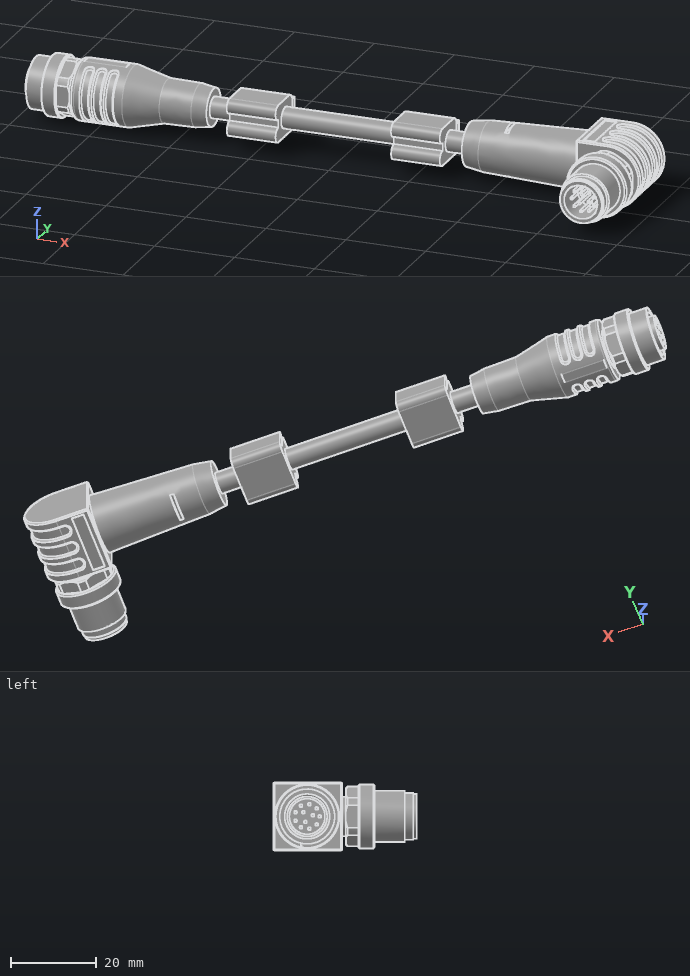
import cadquery as cq
import math


CABLE_DIA = 5.2
CLIP_STARTS = (51.2, 92.3)
CLIP_LENGTH = 12.2
CLIP_HALF_HEIGHT = 4.65
CLIP_HALF_WIDTH = 6.2
CLIP_LOBE_RADIUS = 1.86
CLIP_BODY_EDGE = 4.45
CLIP_LATCH_THICKNESS = 1.4
CLIP_LATCH_TOP = 3.2
CLIP_SLIT_BOTTOM = -1.5

INSERT_DIA = 8.3
PIN_DIA = 0.6
PIN_HOLE_DIA = 0.7
OUTER_PIN_COUNT = 9
OUTER_PIN_RADIUS = 2.9
OUTER_PIN_ANGLE = 20.0
INNER_PIN_COUNT = 3
INNER_PIN_RADIUS = 1.35
SOCKET_INNER_ANGLE = 48.0
PLUG_INNER_ANGLE = -15.0

RING_DIA = 15.0
RING_CHAMFER = 0.4
NUT_FLATS = 13.0
NUT_DIA = 14.0
NUT_CHAMFER = 0.4
NECK_DIA = 9.3

SLEEVE_START = 1.05
SLEEVE_DIA = 12.8
SLEEVE_MOUTH_DIA = 10.5
SLEEVE_ROOT_DIA = 9.3
SLEEVE_DEPTH = 7.0
SOCKET_RING_START = 5.2
SOCKET_NUT_START = 8.7
SOCKET_NUT_END = 11.9
PIN_HOLE_DEPTH = 5.0
GRIP_START = 12.7
GRIP_LEAD_IN = 0.6
GRIP_LEAD_IN_DROP = 0.15
GRIP_END = 25.4
GRIP_DIA = 15.0
TAPER_END = 33.9
TAPER_END_DIA = 10.8
TAIL_RIDGE = 41.8
TAIL_RIDGE_DIA = 10.5
SOCKET_END = 45.5
SOCKET_END_DIA = 9.3

GRIP_GROOVE_CENTRES = (15.95, 19.0, 22.05)
GRIP_GROOVE_WIDTH = 2.4
GRIP_GROOVE_INNER_Y = 2.8
GRIP_FLAT_START = 13.6
GRIP_FLAT_END = 24.1
GRIP_FLAT_HALF_WIDTH = 1.1

BOOT_START = 109.7
BOOT_START_DIA = 10.95
BOOT_RIDGE = 114.0
BOOT_RIDGE_DIA = 12.3
BOOT_END_DIA = 14.2
BOOT_NOTCH_START = 119.7
BOOT_NOTCH_WIDTH = 0.9
BOOT_NOTCH_FLOOR = 5.4

TOTAL_LENGTH = 155.37
TOTAL_DEPTH = 33.5
HEAD_SIZE = 15.97
HEAD_RADIUS = HEAD_SIZE / 2
HEAD_START = 139.3
HEAD_TOP_Y = 7.95
HEAD_LENGTH = 16.15
HEAD_CHAMFER = 0.35
HEAD_BOTTOM_Y = HEAD_TOP_Y - HEAD_LENGTH
HEAD_CENTRE_Y = (HEAD_TOP_Y + HEAD_BOTTOM_Y) / 2
PLUG_X = TOTAL_LENGTH - HEAD_RADIUS
HEAD_GROOVE_PITCH = 4.5
HEAD_GROOVE_WIDTH = 3.1
HEAD_GROOVE_START = 144.75
HEAD_PANEL_START = 140.8
HEAD_PANEL_WIDTH = 2.9
HEAD_PANEL_LENGTH = 14.1
HEAD_PANEL_DEPTH = 0.3

PLUG_NUT_START = 9.0
PLUG_RING_START = 11.85
PLUG_RING_END = 15.75
PLUG_SLEEVE_END = 22.75
PLUG_TIP_STEP = 24.7
PLUG_END = TOTAL_DEPTH - HEAD_TOP_Y
PLUG_SLEEVE_DIA = 12.0
PLUG_TIP_DIA = 10.95
PLUG_END_DIA = 10.5
PLUG_BORE_DEPTH = 8.0
PIN_SETBACK = 1.5

GROOVE_DEPTH = 0.5
GROOVE_WALL_SLOPE = 0.4

TOLERANCE = 1e-3
OVERLAP = 0.5


def turned(stations):
    """Solid of revolution about X through (x, diameter) stations."""
    outline = [(x, dia / 2) for x, dia in stations]
    points = [(stations[0][0], 0)] + outline + [(stations[-1][0], 0)]
    return cq.Workplane("XY").polyline(points).close().revolve(360, (0, 0, 0), (1, 0, 0))


def box(x_range, y_range, z_range):
    """Axis-aligned box from three (low, high) ranges."""
    size = [high - low for low, high in (x_range, y_range, z_range)]
    corner = (x_range[0], y_range[0], z_range[0])
    return cq.Workplane("XY").box(*size, centered=False).translate(corner)


def cylinder_x(start, end, dia):
    return turned([(start, dia), (end, dia)])


def chamfered_cylinder(start, end, dia, chamfer):
    small = dia - 2 * chamfer
    return turned([(start, small), (start + chamfer, dia), (end - chamfer, dia), (end, small)])


def coupling_nut(start, end):
    """Hexagon with two flats facing +-Y and its corners turned down to a cylinder."""
    hexagon = (
        cq.Workplane("YZ", origin=(start, 0, 0))
        .polygon(6, NUT_FLATS, circumscribed=True)
        .extrude(end - start)
    )
    return hexagon.intersect(chamfered_cylinder(start, end, NUT_DIA, NUT_CHAMFER))


def ring_points(count, radius, first_angle):
    """Points evenly spaced on a circle, starting at first_angle degrees."""
    angles = [math.radians(first_angle + i * 360 / count) for i in range(count)]
    return [(radius * math.cos(angle), radius * math.sin(angle)) for angle in angles]


def contacts(start, end, dia, inner_angle):
    """An outer and an inner ring of round contacts, all along X."""
    outer = ring_points(OUTER_PIN_COUNT, OUTER_PIN_RADIUS, OUTER_PIN_ANGLE)
    inner = ring_points(INNER_PIN_COUNT, INNER_PIN_RADIUS, inner_angle)
    plane = cq.Workplane("YZ", origin=(start, 0, 0))
    return plane.pushPoints(outer + inner).circle(dia / 2).extrude(end - start)


def socket_coupling():
    """Sleeve, ring, nut and contact insert at the free end of the straight socket."""
    sleeve = cylinder_x(SLEEVE_START, SOCKET_RING_START + OVERLAP, SLEEVE_DIA)
    ring = chamfered_cylinder(SOCKET_RING_START, SOCKET_NUT_START, RING_DIA, RING_CHAMFER / 2)
    nut = coupling_nut(SOCKET_NUT_START - OVERLAP, SOCKET_NUT_END)
    neck = cylinder_x(SOCKET_NUT_END - OVERLAP, GRIP_START + OVERLAP, NECK_DIA)
    cavity = turned([
        (SLEEVE_START, SLEEVE_MOUTH_DIA),
        (SLEEVE_START + SLEEVE_DEPTH, SLEEVE_ROOT_DIA),
    ])
    insert = cylinder_x(0, SLEEVE_START + SLEEVE_DEPTH + OVERLAP, INSERT_DIA)
    holes = contacts(0, PIN_HOLE_DEPTH, PIN_HOLE_DIA, SOCKET_INNER_ANGLE)
    return sleeve.union(ring).union(nut).union(neck).cut(cavity).union(insert).cut(holes)


def slope_walls(grooves, distance_from_axis, floor_distance):
    """Chamfer the edges of groove cutters that lie on the groove floors."""
    def on_floor(edge):
        distances = [distance_from_axis(vertex) for vertex in edge.Vertices()]
        return all(abs(distance - floor_distance) < TOLERANCE for distance in distances)

    return grooves.edges().filter(on_floor).chamfer(GROOVE_WALL_SLOPE)


def grip_grooves():
    """Finger grooves wrapped round both Y sides of the grip, with round ends."""
    floor_radius = GRIP_DIA / 2 - GROOVE_DEPTH
    band = (
        cylinder_x(GRIP_START, GRIP_END, GRIP_DIA + 2 * OVERLAP)
        .cut(cylinder_x(GRIP_START, GRIP_END, 2 * floor_radius))
    )
    inner = GRIP_GROOVE_INNER_Y
    length = 2 * GRIP_DIA
    slots = (
        cq.Workplane("XY", origin=(0, 0, -GRIP_DIA))
        .pushPoints([
            (x, side * (inner + length / 2))
            for x in GRIP_GROOVE_CENTRES
            for side in (-1, 1)
        ])
        .slot2D(length, GRIP_GROOVE_WIDTH, 90)
        .extrude(2 * GRIP_DIA)
    )
    return slope_walls(
        band.intersect(slots), lambda vertex: math.hypot(vertex.Y, vertex.Z), floor_radius,
    )


def grip():
    """Moulded grip of the straight socket, tapering to the cable."""
    body = turned([
        (GRIP_START, GRIP_DIA - 2 * GRIP_LEAD_IN_DROP),
        (GRIP_START + GRIP_LEAD_IN, GRIP_DIA),
        (GRIP_END, GRIP_DIA),
        (TAPER_END, TAPER_END_DIA),
        (TAIL_RIDGE, TAIL_RIDGE_DIA),
        (SOCKET_END, SOCKET_END_DIA),
    ]).cut(grip_grooves())
    flat_height = math.sqrt((GRIP_DIA / 2) ** 2 - GRIP_FLAT_HALF_WIDTH ** 2)
    for z_range in ((flat_height, GRIP_DIA), (-GRIP_DIA, -flat_height)):
        body = body.cut(box(
            (GRIP_FLAT_START, GRIP_FLAT_END), (-GRIP_DIA, GRIP_DIA), z_range,
        ))
    return body


def clip(start):
    """Cable clip: two lobes either side of a mouth on -Y, and a latch wall on +Y."""
    lobe = CLIP_LOBE_RADIUS
    top = CLIP_HALF_HEIGHT
    side = CLIP_HALF_WIDTH
    lobe_y = -side + lobe
    lobe_z = top - lobe
    latch_radius = CLIP_LATCH_THICKNESS / 2
    latch_y = side - latch_radius
    latch_z = CLIP_LATCH_TOP - latch_radius
    x_range = (start, start + CLIP_LENGTH)

    def rod(y, z, radius):
        return cq.Workplane("YZ", origin=(start, y, z)).circle(radius).extrude(CLIP_LENGTH)

    body = box(x_range, (lobe_y, CLIP_BODY_EDGE), (-top, top)).edges("|X and >Y").fillet(lobe)
    for z in (-lobe_z, lobe_z):
        body = body.union(rod(lobe_y, z, lobe))
    latch = box(x_range, (side - CLIP_LATCH_THICKNESS, side), (-lobe_z, latch_z))
    latch = latch.union(rod(latch_y, latch_z, latch_radius))
    foot = box(x_range, (0, side), (-top, CLIP_SLIT_BOTTOM)).edges("|X and >Y and <Z").fillet(lobe)
    return body.union(latch).union(foot)


def boot():
    """Tapered cable boot of the angled plug, with a notch above and below."""
    body = turned([
        (BOOT_START, BOOT_START_DIA),
        (BOOT_RIDGE, BOOT_RIDGE_DIA),
        (HEAD_START, BOOT_END_DIA),
        (HEAD_START + OVERLAP, BOOT_END_DIA),
    ])
    x_range = (BOOT_NOTCH_START, BOOT_NOTCH_START + BOOT_NOTCH_WIDTH)
    y_range = (-BOOT_END_DIA, BOOT_END_DIA)
    for z_range in ((BOOT_NOTCH_FLOOR, BOOT_END_DIA), (-BOOT_END_DIA, -BOOT_NOTCH_FLOOR)):
        body = body.cut(box(x_range, y_range, z_range))
    return body


def d_block(radius):
    """Block with a half-round +X end about the plug axis, spanning the head along Y."""
    return (
        cq.Workplane("XZ", origin=(0, HEAD_TOP_Y, 0))
        .moveTo(HEAD_START, -radius)
        .lineTo(PLUG_X, -radius)
        .threePointArc((PLUG_X + radius, 0), (PLUG_X, radius))
        .lineTo(HEAD_START, radius)
        .close()
        .extrude(HEAD_LENGTH)
    )


def head_grooves():
    """Three finger grooves wrapped round the +X end of the head, with round ends."""
    floor_radius = HEAD_RADIUS - GROOVE_DEPTH
    skin = d_block(HEAD_RADIUS).cut(d_block(floor_radius))
    length = 2 * HEAD_SIZE
    slots = (
        cq.Workplane("XY", origin=(0, HEAD_CENTRE_Y, -HEAD_SIZE))
        .pushPoints([
            (HEAD_GROOVE_START + length / 2, i * HEAD_GROOVE_PITCH) for i in (-1, 0, 1)
        ])
        .slot2D(length, HEAD_GROOVE_WIDTH)
        .extrude(2 * HEAD_SIZE)
    )
    return slope_walls(
        skin.intersect(slots),
        lambda vertex: math.hypot(max(vertex.X - PLUG_X, 0), vertex.Z),
        floor_radius,
    )


def head():
    """Corner housing with three grooves wrapped round its end and a sunk panel on top and bottom."""
    body = d_block(HEAD_RADIUS)
    body = body.faces("<X or >Y or <Y").edges().chamfer(HEAD_CHAMFER)
    body = body.cut(head_grooves())
    panel_x = (HEAD_PANEL_START, HEAD_PANEL_START + HEAD_PANEL_WIDTH)
    panel_y = (HEAD_CENTRE_Y - HEAD_PANEL_LENGTH / 2, HEAD_CENTRE_Y + HEAD_PANEL_LENGTH / 2)
    floor = HEAD_RADIUS - HEAD_PANEL_DEPTH
    for z_range in ((floor, HEAD_SIZE), (-HEAD_SIZE, -floor)):
        body = body.cut(box(panel_x, panel_y, z_range))
    return body


def plug_coupling():
    """Nut, ring, sleeve and pins of the plug, built along +X and turned to point along -Y."""
    neck = cylinder_x(-HEAD_BOTTOM_Y - OVERLAP, PLUG_NUT_START + OVERLAP, NECK_DIA)
    nut = coupling_nut(PLUG_NUT_START, PLUG_RING_START + OVERLAP)
    ring = chamfered_cylinder(PLUG_RING_START, PLUG_RING_END, RING_DIA, RING_CHAMFER)
    sleeve = turned([
        (PLUG_RING_END - OVERLAP, PLUG_SLEEVE_DIA),
        (PLUG_SLEEVE_END, PLUG_SLEEVE_DIA),
        (PLUG_SLEEVE_END, PLUG_TIP_DIA),
        (PLUG_TIP_STEP, PLUG_TIP_DIA),
        (PLUG_TIP_STEP, PLUG_END_DIA),
        (PLUG_END, PLUG_END_DIA),
    ])
    bore_floor = PLUG_END - PLUG_BORE_DEPTH
    bore = cylinder_x(bore_floor, PLUG_END, INSERT_DIA)
    pins = contacts(bore_floor - OVERLAP, PLUG_END - PIN_SETBACK, PIN_DIA, PLUG_INNER_ANGLE)
    coupling = neck.union(nut).union(ring).union(sleeve).cut(bore).union(pins)
    return coupling.rotate((0, 0, 0), (0, 0, 1), -90).translate((PLUG_X, 0, 0))


cable = cylinder_x(SOCKET_END - OVERLAP, BOOT_START + OVERLAP, CABLE_DIA)
result = socket_coupling().union(grip()).union(cable)
for clip_start in CLIP_STARTS:
    result = result.union(clip(clip_start))
result = result.union(boot()).union(head()).union(plug_coupling())